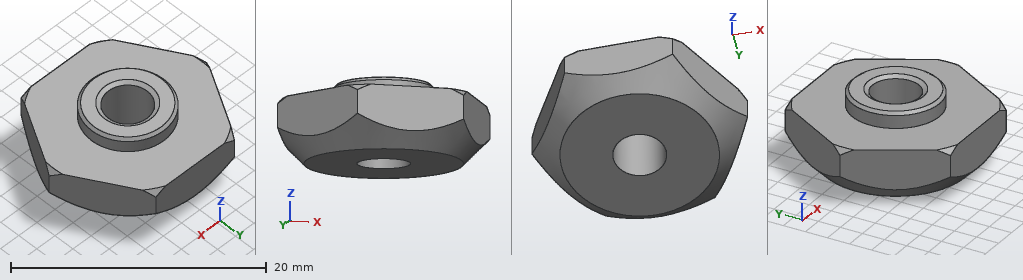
import cadquery as cq
import math

across_corners = 17.32
total_height = 6.2
boss_height = 1.4
boss_diameter = 7.9
boss_chamfer = 0.26
bore_diameter = 4.21
bore_mouth_diameter = 5.0
countersink_angle = 120.0
base_diameter = 12.49
top_face_diameter = 16.33

hex_height = total_height - boss_height
corner_radius = across_corners / 2
countersink_run = (bore_mouth_diameter - bore_diameter) / 2
countersink_depth = countersink_run / math.tan(math.radians(countersink_angle / 2))
lower_bevel = corner_radius - base_diameter / 2
upper_bevel = corner_radius - top_face_diameter / 2


def bevelled_hexagon():
    """Hexagon with corners on X, trimmed by a 45 degree cone at each end."""
    prism = cq.Workplane("XY").polygon(6, across_corners).extrude(hex_height)
    envelope = (
        cq.Workplane("XZ")
        .polyline([
            (0, 0),
            (base_diameter / 2, 0),
            (corner_radius, lower_bevel),
            (corner_radius, hex_height - upper_bevel),
            (top_face_diameter / 2, hex_height),
            (0, hex_height),
        ])
        .close()
        .revolve(360, (0, 0, 0), (0, 1, 0))
    )
    return prism.intersect(envelope)


def boss():
    """Round collar with a chamfered top rim."""
    return (
        cq.Workplane("XY", origin=(0, 0, hex_height))
        .circle(boss_diameter / 2)
        .extrude(boss_height)
        .faces(">Z")
        .chamfer(boss_chamfer)
    )


def bore():
    """Through hole with a conical countersink at the top."""
    return (
        cq.Workplane("XZ")
        .polyline([
            (0, 0),
            (bore_diameter / 2, 0),
            (bore_diameter / 2, total_height - countersink_depth),
            (bore_mouth_diameter / 2, total_height),
            (0, total_height),
        ])
        .close()
        .revolve(360, (0, 0, 0), (0, 1, 0))
    )


result = bevelled_hexagon().union(boss()).cut(bore())